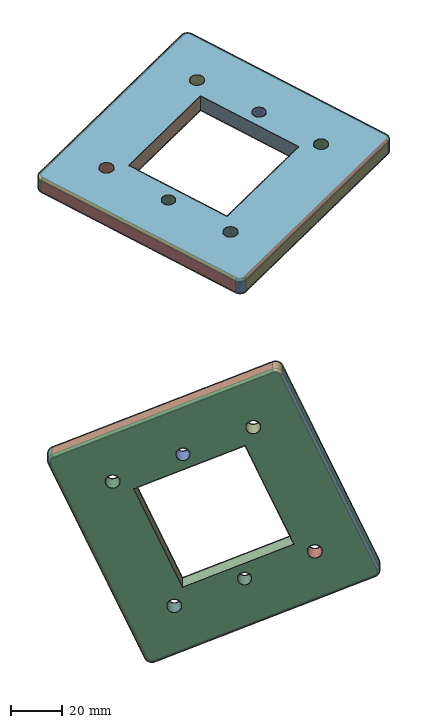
import cadquery as cq

side = 100.0
thickness = 8.0
corner_radius = 3.0
rim_radius = 1.0

window_side = 47.5

hole_spacing = 60.0
corner_hole_diameter = 5.8
middle_hole_diameter = 5.5

half_spacing = hole_spacing / 2
corner_points = [(x, y) for x in (-half_spacing, half_spacing) for y in (-half_spacing, half_spacing)]
middle_points = [(0, -half_spacing), (0, half_spacing)]


def make_plate():
    """Square plate with rounded corners and rounded top and bottom rims."""
    plate = cq.Workplane("XY").box(side, side, thickness)
    plate = plate.edges("|Z").fillet(corner_radius)
    return plate.faces("<Z or >Z").edges().fillet(rim_radius)


def drill(plate, points, diameter):
    """Cut through holes at the given points."""
    return plate.faces(">Z").workplane(origin=(0, 0, 0)).pushPoints(points).hole(diameter)


result = make_plate()
result = result.faces(">Z").workplane().rect(window_side, window_side).cutThruAll()
result = drill(result, corner_points, corner_hole_diameter)
result = drill(result, middle_points, middle_hole_diameter)